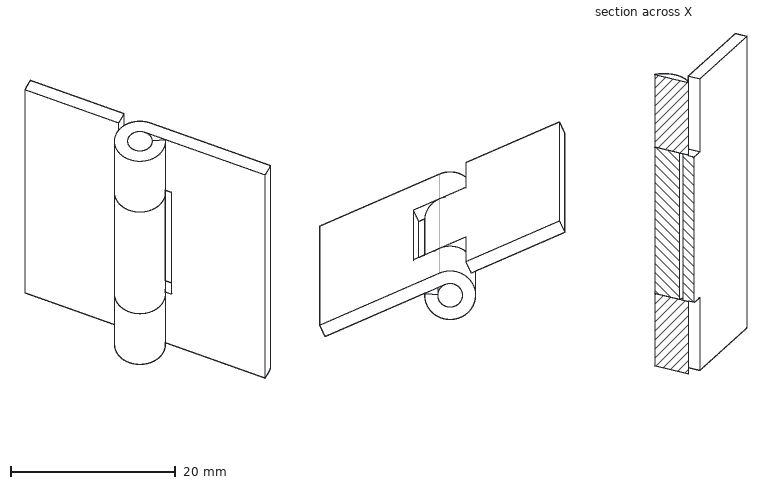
import cadquery as cq
import math

hinge_height = 40.0
hinge_width = 32.0
sheet_thickness = 1.6
pin_diameter = 3.0
notch_clearance = 0.4
curl_end_angle = 28.0

pin_radius = pin_diameter / 2
knuckle_radius = pin_radius + sheet_thickness
notch_edge = knuckle_radius + notch_clearance
half_width = hinge_width / 2
lower_joint = hinge_height / 4
upper_joint = hinge_height - lower_joint

curl_start = 90.0
curl_stop = 360.0 + curl_end_angle
curl_middle = (curl_start + curl_stop) / 2


def polar(radius, angle):
    """Point at a radius and an angle in degrees about the pin axis."""
    return (radius * math.cos(math.radians(angle)), radius * math.sin(math.radians(angle)))


def rolled_strip(bottom, top):
    """Flat plate toward +X with its edge rolled around the pin into a knuckle."""
    return (
        cq.Workplane("XY", origin=(0, 0, bottom))
        .moveTo(0, knuckle_radius)
        .lineTo(half_width, knuckle_radius)
        .lineTo(half_width, pin_radius)
        .lineTo(0, pin_radius)
        .threePointArc(polar(pin_radius, curl_middle), polar(pin_radius, curl_stop))
        .lineTo(*polar(knuckle_radius, curl_stop))
        .threePointArc(polar(knuckle_radius, curl_middle), (0, knuckle_radius))
        .close()
        .extrude(top - bottom)
    )


def flat_strip(bottom, top):
    """Plate toward +X that stops clear of the other leaf's knuckle."""
    return cq.Workplane("XY", origin=(notch_edge, pin_radius, bottom)).box(
        half_width - notch_edge, sheet_thickness, top - bottom, centered=False
    )


def make_outer_leaf():
    """Leaf on the +X side, with a knuckle at each end."""
    return (
        rolled_strip(0, lower_joint)
        .union(flat_strip(lower_joint, upper_joint))
        .union(rolled_strip(upper_joint, hinge_height))
        .clean()
    )


def make_middle_leaf():
    """Leaf on the -X side, with one knuckle at mid-height."""
    leaf = (
        flat_strip(0, lower_joint)
        .union(rolled_strip(lower_joint, upper_joint))
        .union(flat_strip(upper_joint, hinge_height))
        .clean()
    )
    return leaf.mirror("YZ")


def make_pin():
    """Plain pin, flush with both ends of the hinge."""
    return cq.Workplane("XY").circle(pin_radius).extrude(hinge_height)


outer_leaf = make_outer_leaf()
middle_leaf = make_middle_leaf()
pin = make_pin()

result = cq.Compound.makeCompound([outer_leaf.val(), middle_leaf.val(), pin.val()])